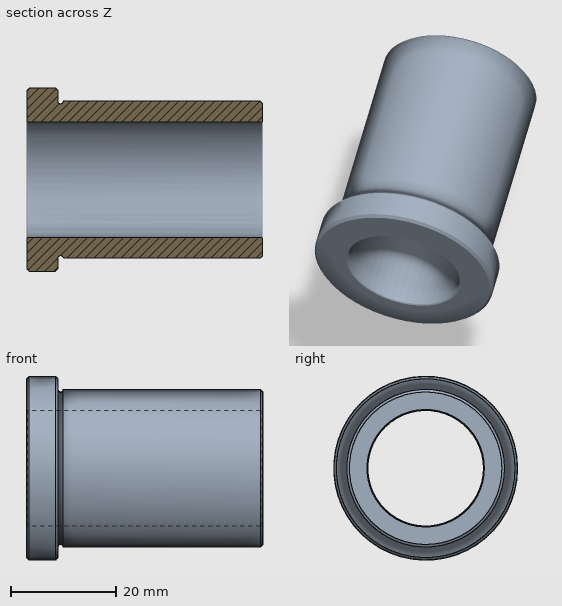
import cadquery as cq

length = 45.0
flange_diameter = 35.0
flange_width = 6.0
body_diameter = 30.0
bore_diameter = 22.0

edge_chamfer = 0.5
bore_chamfer = 0.2
groove_radius = 0.5

flange_radius = flange_diameter / 2
body_radius = body_diameter / 2
bore_radius = bore_diameter / 2
mouth_radius = bore_radius + bore_chamfer
body_start = flange_width + 2 * groove_radius

section = (
    cq.Workplane("XY")
    .moveTo(0, mouth_radius)
    .lineTo(0, flange_radius - edge_chamfer)
    .lineTo(edge_chamfer, flange_radius)
    .lineTo(flange_width - edge_chamfer, flange_radius)
    .lineTo(flange_width, flange_radius - edge_chamfer)
    .lineTo(flange_width, body_radius)
    .threePointArc((flange_width + groove_radius, body_radius - groove_radius), (body_start, body_radius))
    .lineTo(length - edge_chamfer, body_radius)
    .lineTo(length, body_radius - edge_chamfer)
    .lineTo(length, mouth_radius)
    .lineTo(length - bore_chamfer, bore_radius)
    .lineTo(bore_chamfer, bore_radius)
    .close()
)

result = section.revolve(360, (0, 0, 0), (1, 0, 0))